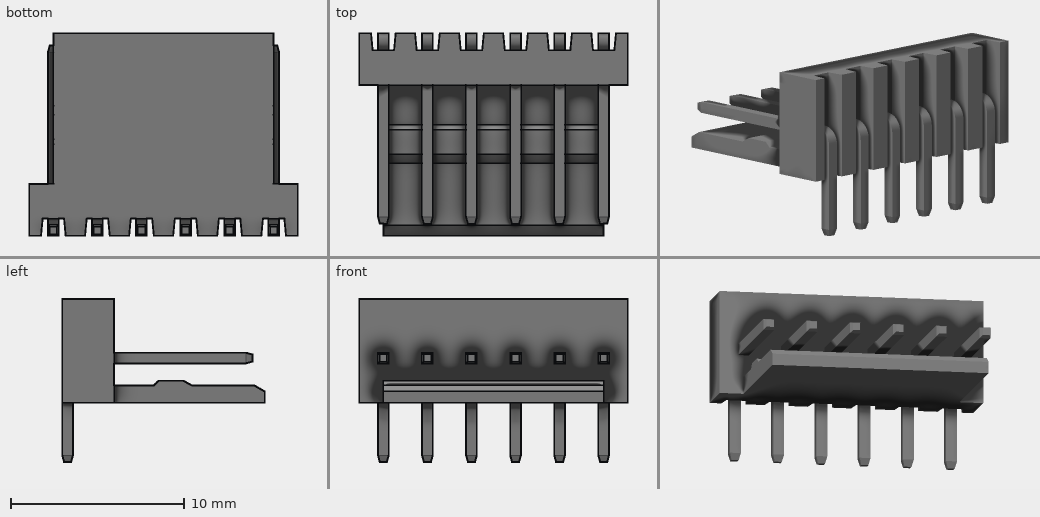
import cadquery as cq
import math

PIN_COUNT = 6
PITCH = 2.54
ROW_LENGTH = (PIN_COUNT - 1) * PITCH

WALL_WIDTH = 15.49
WALL_DEPTH = 3.0
WALL_HEIGHT = 6.0

NOTCH_DEPTH = 0.99
NOTCH_MOUTH_WIDTH = 1.41
NOTCH_FLOOR_WIDTH = 1.22

TONGUE_WIDTH = ROW_LENGTH
TONGUE_THICKNESS = 1.0
TONGUE_TIP_Y = -11.7
LEAD_IN_LENGTH = 0.6
LEAD_IN_ANGLE = 30.0

RIDGE_HEIGHT = 0.28
RIDGE_START_Y = -5.28
RIDGE_CREST_LENGTH = 1.43
RIDGE_FRONT_LENGTH = 0.51

PIN_SIZE = 0.64
PIN_AXIS_Z = 2.59
PIN_TOP_Z = PIN_AXIS_Z + PIN_SIZE / 2
PIN_FRONT_Y = -10.98
PIN_BOTTOM_Z = -3.41
BEND_OUTER_RADIUS = NOTCH_DEPTH
BEND_INNER_RADIUS = BEND_OUTER_RADIUS - PIN_SIZE
TIP_LENGTH = 0.4
TIP_SIZE = 0.42

PIN_POSITIONS = [(i - (PIN_COUNT - 1) / 2) * PITCH for i in range(PIN_COUNT)]


def make_wall():
    """Upright block that carries the pins."""
    return cq.Workplane("XY").box(
        WALL_WIDTH, WALL_DEPTH, WALL_HEIGHT, centered=(True, False, False)
    ).translate((0, -WALL_DEPTH, 0))


def make_tongue():
    """Tongue with a latch ridge and a sloped lead-in, extruded along the row."""
    ridge_top_z = TONGUE_THICKNESS + RIDGE_HEIGHT
    crest_start_y = RIDGE_START_Y - RIDGE_HEIGHT
    crest_end_y = crest_start_y - RIDGE_CREST_LENGTH
    ridge_end_y = crest_end_y - RIDGE_FRONT_LENGTH
    lead_in_drop = LEAD_IN_LENGTH * math.tan(math.radians(LEAD_IN_ANGLE))
    profile = [
        (-WALL_DEPTH, 0),
        (-WALL_DEPTH, TONGUE_THICKNESS),
        (RIDGE_START_Y, TONGUE_THICKNESS),
        (crest_start_y, ridge_top_z),
        (crest_end_y, ridge_top_z),
        (ridge_end_y, TONGUE_THICKNESS),
        (TONGUE_TIP_Y + LEAD_IN_LENGTH, TONGUE_THICKNESS),
        (TONGUE_TIP_Y, TONGUE_THICKNESS - lead_in_drop),
        (TONGUE_TIP_Y, 0),
    ]
    return cq.Workplane("YZ").polyline(profile).close().extrude(TONGUE_WIDTH / 2, both=True)


def make_notch(x):
    """Cutter for the full-height notch behind the pin at x."""
    outline = [
        (x - NOTCH_MOUTH_WIDTH / 2, 0),
        (x - NOTCH_FLOOR_WIDTH / 2, -NOTCH_DEPTH),
        (x + NOTCH_FLOOR_WIDTH / 2, -NOTCH_DEPTH),
        (x + NOTCH_MOUTH_WIDTH / 2, 0),
    ]
    return cq.Workplane("XY").polyline(outline).close().extrude(WALL_HEIGHT)


def make_pin_hole(x):
    """Cutter for the square hole that holds the pin at x."""
    return cq.Workplane("XY").box(PIN_SIZE, WALL_DEPTH, PIN_SIZE).translate(
        (x, -WALL_DEPTH / 2, PIN_AXIS_Z)
    )


def make_housing():
    """Wall and tongue in one piece, notched and pierced for every pin."""
    body = make_wall().union(make_tongue())
    for x in PIN_POSITIONS:
        body = body.cut(make_notch(x)).cut(make_pin_hole(x))
    return body


def make_bent_wire():
    """Bent square wire between the two tapered tips, centred on x = 0."""
    front_y = PIN_FRONT_Y + TIP_LENGTH
    bottom_z = PIN_BOTTOM_Z + TIP_LENGTH
    bend_y = -BEND_OUTER_RADIUS
    bend_z = PIN_TOP_Z - BEND_OUTER_RADIUS
    diagonal = math.sqrt(0.5)
    outer_mid = (bend_y + BEND_OUTER_RADIUS * diagonal, bend_z + BEND_OUTER_RADIUS * diagonal)
    inner_mid = (bend_y + BEND_INNER_RADIUS * diagonal, bend_z + BEND_INNER_RADIUS * diagonal)
    return (
        cq.Workplane("YZ")
        .moveTo(front_y, PIN_TOP_Z)
        .lineTo(bend_y, PIN_TOP_Z)
        .threePointArc(outer_mid, (0, bend_z))
        .lineTo(0, bottom_z)
        .lineTo(-PIN_SIZE, bottom_z)
        .lineTo(-PIN_SIZE, bend_z)
        .threePointArc(inner_mid, (bend_y, PIN_TOP_Z - PIN_SIZE))
        .lineTo(front_y, PIN_TOP_Z - PIN_SIZE)
        .close()
        .extrude(PIN_SIZE / 2, both=True)
    )


def make_tip(base_center, direction):
    """Square taper from the wire section to the blunt pin end."""
    base = cq.Plane(origin=base_center, xDir=(1, 0, 0), normal=direction)
    return (
        cq.Workplane(base)
        .rect(PIN_SIZE, PIN_SIZE)
        .workplane(offset=TIP_LENGTH)
        .rect(TIP_SIZE, TIP_SIZE)
        .loft()
    )


def make_pin(x):
    """Right-angle pin at x: mating end forward, solder end downward."""
    mating_tip = make_tip((0, PIN_FRONT_Y + TIP_LENGTH, PIN_AXIS_Z), (0, -1, 0))
    solder_tip = make_tip((0, -PIN_SIZE / 2, PIN_BOTTOM_Z + TIP_LENGTH), (0, 0, -1))
    return make_bent_wire().union(mating_tip).union(solder_tip).translate((x, 0, 0))


housing = make_housing()
pins = [make_pin(x) for x in PIN_POSITIONS]

result = cq.Compound.makeCompound([housing.val(), *[pin.val() for pin in pins]])